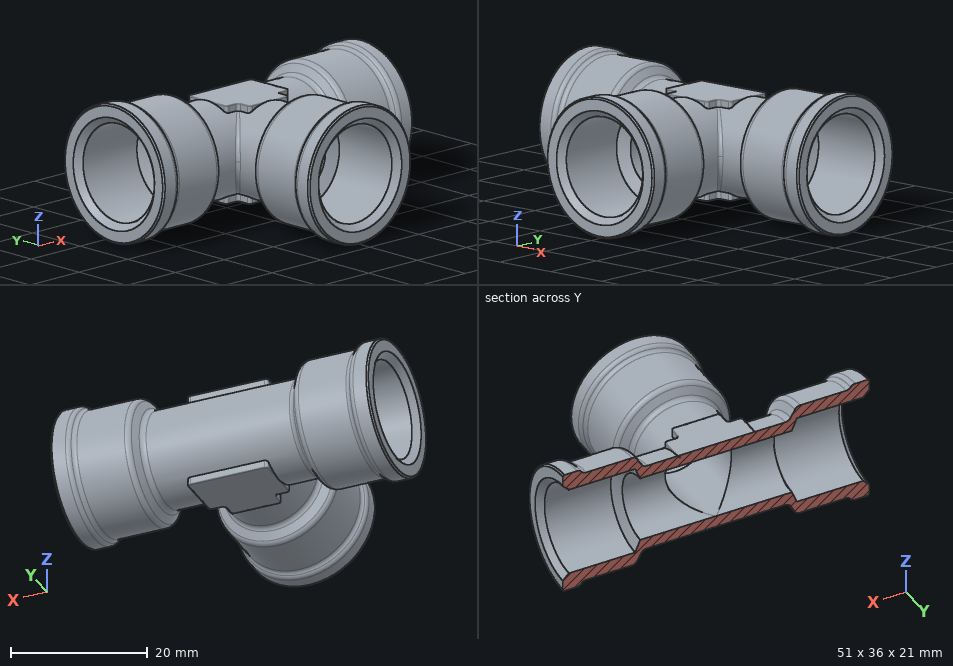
import cadquery as cq
import math

arm_length = 25.5
neck_radius = 15.0 / 2
socket_radius = 19.5 / 2
collar_radius = 21.0 / 2
collar_width = 2.4
collar_blend_length = 1.5
socket_end = 11.55
shoulder_slope = math.radians(60)
shoulder_blend_radius = 1.0
rim_chamfer = 0.25

bore_radius = 11.0 / 2
socket_bore_radius = 15.0 / 2
mouth_radius = 17.05 / 2
mouth_chamfer_depth = 1.0
socket_bore_depth = 12.05
seat_slope = math.radians(67)

pad_width = 12.95
pad_half_depth = 4.05
pad_stem_reach = pad_width / 2
pad_corner_radius = 0.5
pad_rim_radius = 0.1
crotch_radius = 0.5


def arm_outer():
    """Solid of revolution about +X, with its mouth at x = arm_length."""
    collar_end = arm_length - collar_width
    socket_start = collar_end - collar_blend_length
    step = collar_radius - socket_radius
    half_length = collar_blend_length / 2
    step_middle = (collar_end - half_length, socket_radius + step / 2)

    blend_length = shoulder_blend_radius * math.sin(shoulder_slope)
    blend_drop = shoulder_blend_radius * (1 - math.cos(shoulder_slope))
    cone_drop = socket_radius - neck_radius - 2 * blend_drop
    cone_length = cone_drop / math.tan(shoulder_slope)
    shoulder_start = arm_length - socket_end
    cone_start = shoulder_start - blend_length
    cone_end = cone_start - cone_length
    neck_end = cone_end - blend_length

    return (
        cq.Workplane("XY")
        .moveTo(0, 0)
        .lineTo(arm_length, 0)
        .lineTo(arm_length, collar_radius - rim_chamfer)
        .lineTo(arm_length - rim_chamfer, collar_radius)
        .lineTo(collar_end, collar_radius)
        .tangentArcPoint(step_middle, relative=False)
        .tangentArcPoint((socket_start, socket_radius), relative=False)
        .lineTo(shoulder_start, socket_radius)
        .tangentArcPoint((cone_start, socket_radius - blend_drop), relative=False)
        .lineTo(cone_end, neck_radius + blend_drop)
        .tangentArcPoint((neck_end, neck_radius), relative=False)
        .lineTo(0, neck_radius)
        .close()
        .revolve(360, (0, 0, 0), (1, 0, 0))
    )


def arm_bore():
    """Stepped bore about +X: through bore, conical seat, socket bore, mouth chamfer."""
    seat_outer = arm_length - socket_bore_depth
    seat_inner = seat_outer - (socket_bore_radius - bore_radius) / math.tan(seat_slope)
    return (
        cq.Workplane("XY")
        .polyline([
            (0, 0),
            (arm_length, 0),
            (arm_length, mouth_radius),
            (arm_length - mouth_chamfer_depth, socket_bore_radius),
            (seat_outer, socket_bore_radius),
            (seat_inner, bore_radius),
            (0, bore_radius),
        ])
        .close()
        .revolve(360, (0, 0, 0), (1, 0, 0))
    )


def tee(arm):
    """Three copies of an arm, pointing along +X, -X and -Y."""
    body = arm
    for angle in (180, -90):
        body = body.union(arm.rotate((0, 0, 0), (0, 0, 1), angle))
    return body


def pad_prism(half_height):
    """T-shaped prism through the crossing, with rounded outer corners."""
    height = 2 * half_height
    bar = cq.Workplane("XY").box(pad_width, 2 * pad_half_depth, height)
    stem = (
        cq.Workplane("XY")
        .box(2 * pad_half_depth, pad_stem_reach, height)
        .translate((0, -pad_stem_reach / 2, 0))
    )
    bar = bar.edges("|Z").fillet(pad_corner_radius)
    stem = stem.edges("|Z and <Y").fillet(pad_corner_radius)
    return bar.union(stem)


def is_crotch_edge(edge):
    """True for the elliptical edges where the branch neck meets the run neck."""
    return edge.geomType() == "ELLIPSE"


def is_inside_corner(edge):
    """True for the upright edges in the two inside corners of the T."""
    middle = edge.Center()
    return math.isclose(abs(middle.x), pad_half_depth) and math.isclose(middle.y, -pad_half_depth)


core = pad_prism(neck_radius - pad_rim_radius)
body = tee(arm_outer()).union(core)
body = body.edges().filter(is_crotch_edge).fillet(crotch_radius)

pads = pad_prism(neck_radius)
pads = pads.edges("|Z").filter(is_inside_corner).fillet(pad_corner_radius)
pads = pads.faces("<Z or >Z").edges().fillet(pad_rim_radius)
body = body.union(pads)

result = body.cut(tee(arm_bore()))